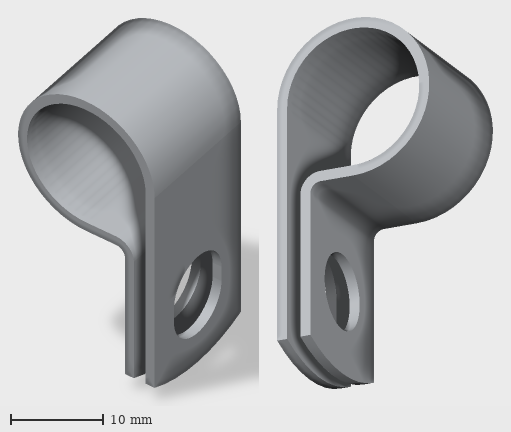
import cadquery as cq
import math

height = 37.65
width = 15.9
thickness = 1.2
loop_outer_radius = 9.15

leg_gap = 1.6
bend_inner_radius = 1.2
hole_diameter = 8.75
hole_height = 9.5
slot_length = 10.75
tip_rise = 1.7

loop_inner_radius = loop_outer_radius - thickness
bend_outer_radius = bend_inner_radius + thickness
loop_z = height - loop_outer_radius
short_leg_right = loop_inner_radius - leg_gap
short_leg_left = short_leg_right - thickness
bend_x = short_leg_right - bend_outer_radius
shelf_top = loop_z - loop_inner_radius
shelf_bottom = shelf_top - thickness
bend_z = shelf_top - bend_outer_radius
half_width = width / 2


def loop_middle(radius):
    """Point halfway along the three-quarter loop."""
    offset = radius * math.sqrt(0.5)
    return (-offset, loop_z + offset)


def bend_middle(radius):
    """Point halfway along the bend from shelf to short leg."""
    offset = radius * math.sqrt(0.5)
    return (bend_x + offset, bend_z + offset)


def make_strip():
    """Strip profile in XZ, extruded symmetrically along Y."""
    return (
        cq.Workplane("XZ")
        .moveTo(loop_outer_radius, 0)
        .lineTo(loop_outer_radius, loop_z)
        .threePointArc(loop_middle(loop_outer_radius), (0, shelf_bottom))
        .lineTo(bend_x, shelf_bottom)
        .threePointArc(bend_middle(bend_inner_radius), (short_leg_left, bend_z))
        .lineTo(short_leg_left, 0)
        .lineTo(short_leg_right, 0)
        .lineTo(short_leg_right, bend_z)
        .threePointArc(bend_middle(bend_outer_radius), (bend_x, shelf_top))
        .lineTo(0, shelf_top)
        .threePointArc(loop_middle(loop_inner_radius), (loop_inner_radius, loop_z))
        .lineTo(loop_inner_radius, 0)
        .close()
        .extrude(half_width, both=True)
    )


def make_end_envelope():
    """Block with a rounded lower edge that trims both leg tips."""
    return (
        cq.Workplane("YZ")
        .moveTo(-half_width, tip_rise)
        .threePointArc((0, 0), (half_width, tip_rise))
        .lineTo(half_width, height)
        .lineTo(-half_width, height)
        .close()
        .extrude(loop_outer_radius, both=True)
    )


def make_bolt_hole():
    """Round hole through the short leg."""
    return (
        cq.Workplane("YZ")
        .center(0, hole_height)
        .circle(hole_diameter / 2)
        .extrude(short_leg_right)
    )


def make_bolt_slot():
    """Upright slot through the long leg, centred on the round hole."""
    return (
        cq.Workplane("YZ", origin=(short_leg_right, 0, 0))
        .center(0, hole_height)
        .slot2D(slot_length, hole_diameter, 90)
        .extrude(leg_gap + thickness)
    )


clamp = make_strip().intersect(make_end_envelope())
result = clamp.cut(make_bolt_hole()).cut(make_bolt_slot())